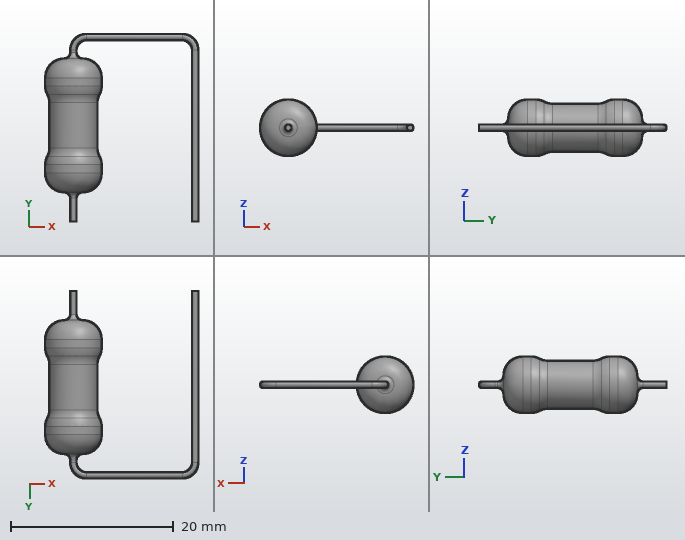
import cadquery as cq
import math

overall_width = 18.9
overall_length = 23.1
wire_diameter = 0.8
cap_diameter = 7.0
waist_diameter = 5.95

short_lead_length = 3.58
body_length = 16.52
cap_straight_length = 1.02
shoulder_length = 2.03
meniscus_radius = 0.7
bend_radius = 1.6

wire_radius = wire_diameter / 2
cap_radius = cap_diameter / 2
waist_radius = waist_diameter / 2
meniscus_base_radius = wire_radius + meniscus_radius
cap_corner_radius = cap_radius - meniscus_base_radius

long_lead_x = overall_width - cap_radius - wire_radius
body_start = short_lead_length
body_end = body_start + body_length
crossbar_y = overall_length - wire_radius
bend_start = crossbar_y - bend_radius

cap_start = body_start + cap_corner_radius
shoulder_start = cap_start + cap_straight_length
shoulder_middle = shoulder_start + shoulder_length / 2
shoulder_end = shoulder_start + shoulder_length
shoulder_mid_radius = (cap_radius + waist_radius) / 2


def mirrored(y):
    """Position of the matching point at the other end of the body."""
    return body_start + body_end - y


def make_body():
    """Revolved body with both flares and the straight leads on its axis."""
    meniscus_tip = body_start - meniscus_radius
    diagonal = math.sqrt(0.5)
    flare_mid_radius = meniscus_base_radius - meniscus_radius * diagonal
    flare_mid_y = meniscus_tip + meniscus_radius * diagonal
    corner_mid_radius = meniscus_base_radius + cap_corner_radius * diagonal
    corner_mid_y = cap_start - cap_corner_radius * diagonal
    profile = (
        cq.Workplane("XY")
        .lineTo(wire_radius, 0)
        .lineTo(wire_radius, meniscus_tip)
        .threePointArc((flare_mid_radius, flare_mid_y), (meniscus_base_radius, body_start))
        .threePointArc((corner_mid_radius, corner_mid_y), (cap_radius, cap_start))
        .lineTo(cap_radius, shoulder_start)
        .tangentArcPoint((shoulder_mid_radius, shoulder_middle), relative=False)
        .tangentArcPoint((waist_radius, shoulder_end), relative=False)
        .lineTo(waist_radius, mirrored(shoulder_end))
        .tangentArcPoint((shoulder_mid_radius, mirrored(shoulder_middle)), relative=False)
        .tangentArcPoint((cap_radius, mirrored(shoulder_start)), relative=False)
        .lineTo(cap_radius, mirrored(cap_start))
        .threePointArc((corner_mid_radius, mirrored(corner_mid_y)), (meniscus_base_radius, body_end))
        .threePointArc((flare_mid_radius, mirrored(flare_mid_y)), (wire_radius, mirrored(meniscus_tip)))
        .lineTo(wire_radius, bend_start)
        .lineTo(0, bend_start)
        .close()
    )
    return profile.revolve(360, (0, 0), (0, 1))


def make_folded_lead():
    """Round wire with two right-angle bends, running back beside the body."""
    path = (
        cq.Workplane("XY")
        .moveTo(0, bend_start)
        .radiusArc((bend_radius, crossbar_y), bend_radius)
        .lineTo(long_lead_x - bend_radius, crossbar_y)
        .radiusArc((long_lead_x, bend_start), bend_radius)
        .lineTo(long_lead_x, 0)
    )
    section = cq.Workplane("XZ", origin=(0, bend_start, 0)).circle(wire_radius)
    return section.sweep(path)


result = make_body().union(make_folded_lead())